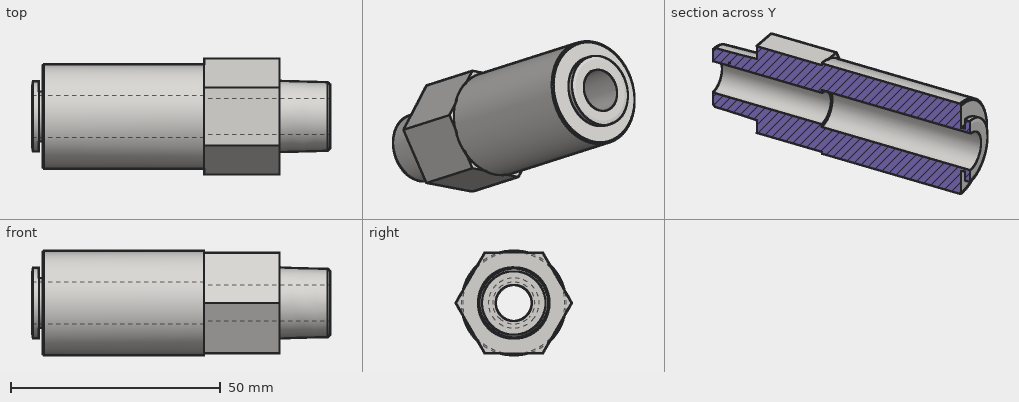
import cadquery as cq

total_length = 71.0
flange_thickness = 1.55
body_start = 2.5
hex_start = 41.0
hex_end = 58.9

flange_diameter = 16.8
flange_face_diameter = 14.8
rim_cone_depth = 0.18
neck_diameter = 12.0

body_diameter = 25.0
body_chamfer = 0.35

hex_across_corners = 27.7

taper_base_diameter = 17.05
taper_tip_diameter = 16.4
tip_chamfer = 0.65

socket_diameter = 10.0
socket_depth = hex_start
passage_diameter = 8.5


def cylinder(diameter, start, end):
    """Cylinder on the X axis between two positions."""
    return cq.Workplane("YZ", origin=(start, 0, 0)).circle(diameter / 2).extrude(end - start)


def revolve_about_x(profile):
    """Solid of revolution from (x, radius) points."""
    return cq.Workplane("XY").polyline(profile).close().revolve(360, (0, 0, 0), (1, 0, 0))


def make_release_ring():
    neck = cylinder(neck_diameter, 0, body_start)
    flange = revolve_about_x([
        (0, 0),
        (0, flange_face_diameter / 2),
        (rim_cone_depth, flange_diameter / 2),
        (flange_thickness, flange_diameter / 2),
        (flange_thickness, 0),
    ])
    return neck.union(flange)


def make_body():
    return cylinder(body_diameter, body_start, hex_start).faces("<X").chamfer(body_chamfer)


def make_hexagon():
    section = cq.Workplane("YZ", origin=(hex_start, 0, 0)).polygon(6, hex_across_corners)
    return section.extrude(hex_end - hex_start)


def make_tapered_end():
    return revolve_about_x([
        (hex_end, 0),
        (hex_end, taper_base_diameter / 2),
        (total_length - tip_chamfer, taper_tip_diameter / 2),
        (total_length, taper_tip_diameter / 2 - tip_chamfer),
        (total_length, 0),
    ])


outside = make_release_ring().union(make_body()).union(make_hexagon()).union(make_tapered_end())
socket = cylinder(socket_diameter, 0, socket_depth)
passage = cylinder(passage_diameter, 0, total_length)
result = outside.cut(socket).cut(passage)